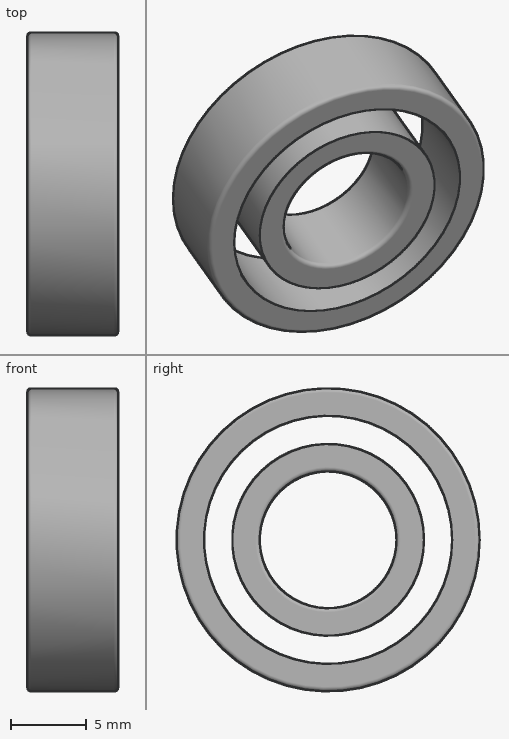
import cadquery as cq

width = 6.0
outer_diameter = 20.0
outer_ring_bore = 16.35
inner_ring_diameter = 12.65
shaft_bore = 9.0
edge_radius = 0.28


def plain_ring(outside, bore):
    """Square-edged ring around the X axis, centred on the YZ plane."""
    return (
        cq.Workplane("YZ", origin=(-width / 2, 0, 0))
        .circle(outside / 2)
        .circle(bore / 2)
        .extrude(width)
    )


def round_rims(ring, radius_rank):
    """Round both circular rims of one radius: rank 0 is the smallest, -1 the largest."""
    rims = cq.selectors.RadiusNthSelector(radius_rank)
    return ring.faces("|X").edges(rims).fillet(edge_radius)


def make_outer_ring():
    ring = plain_ring(outer_diameter, outer_ring_bore)
    return round_rims(ring, radius_rank=-1)


def make_inner_ring():
    ring = plain_ring(inner_ring_diameter, shaft_bore)
    return round_rims(ring, radius_rank=0)


outer_ring = make_outer_ring()
inner_ring = make_inner_ring()

result = cq.Compound.makeCompound([outer_ring.val(), inner_ring.val()])